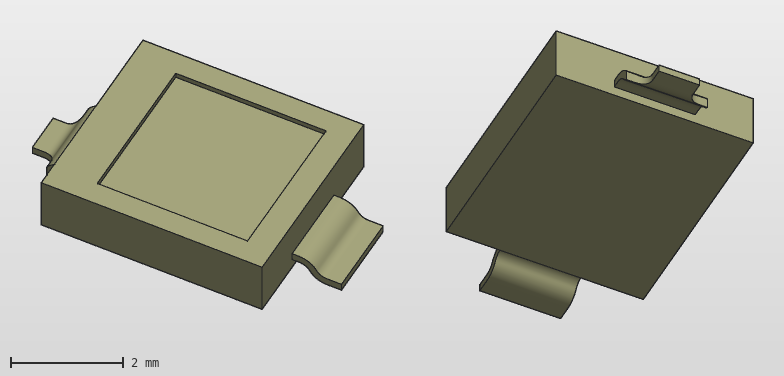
import cadquery as cq
import math

total_length = 6.4
total_height = 1.2
body_length = 4.42
body_width = 3.9
standoff = 0.1

window_side = 3.01
window_depth = 0.1
window_margin = 0.89

lead_width = 1.6
lead_thickness = 0.155
lead_top = 0.46
shoulder_length = 0.135
upper_bend_radius = 0.42
lower_bend_radius = 0.23
narrow_foot_width = 0.8
notch_radius = 0.25

lead_reach = (total_length - body_length) / 2
bend_drop = lead_top - lead_thickness
bend_angle = math.acos(1 - bend_drop / (upper_bend_radius + lower_bend_radius))
bend_middle = shoulder_length + upper_bend_radius * math.sin(bend_angle)
bend_end = bend_middle + lower_bend_radius * math.sin(bend_angle)


def make_body():
    """Rectangular body with the shallow square window in its top face."""
    body = cq.Workplane("XY").workplane(offset=standoff).box(
        body_length, body_width, total_height - standoff, centered=(True, True, False)
    )
    window_center = -body_length / 2 + window_margin + window_side / 2
    window = (
        cq.Workplane("XY")
        .workplane(offset=total_height - window_depth)
        .center(window_center, 0)
        .rect(window_side, window_side)
        .extrude(window_depth)
    )
    return body.cut(window)


def make_lead():
    """Full-width lead leaving the +X face of the body."""
    face = body_length / 2
    upper_center = (face + shoulder_length, lead_top - upper_bend_radius)
    lower_center = (face + bend_end, lead_thickness + lower_bend_radius)

    def upper_point(radius, angle):
        return (
            upper_center[0] + radius * math.sin(angle),
            upper_center[1] + radius * math.cos(angle),
        )

    def lower_point(radius, angle):
        return (
            lower_center[0] - radius * math.sin(angle),
            lower_center[1] - radius * math.cos(angle),
        )

    half_angle = bend_angle / 2
    upper_inner = upper_bend_radius - lead_thickness
    lower_outer = lower_bend_radius + lead_thickness
    tip = face + lead_reach
    return (
        cq.Workplane("XZ")
        .moveTo(face, lead_top)
        .lineTo(*upper_point(upper_bend_radius, 0))
        .threePointArc(
            upper_point(upper_bend_radius, half_angle),
            upper_point(upper_bend_radius, bend_angle),
        )
        .threePointArc(
            lower_point(lower_bend_radius, half_angle),
            lower_point(lower_bend_radius, 0),
        )
        .lineTo(tip, lead_thickness)
        .lineTo(tip, 0)
        .lineTo(*lower_point(lower_outer, 0))
        .threePointArc(
            lower_point(lower_outer, half_angle),
            lower_point(lower_outer, bend_angle),
        )
        .threePointArc(
            upper_point(upper_inner, half_angle),
            upper_point(upper_inner, 0),
        )
        .lineTo(face, lead_top - lead_thickness)
        .close()
        .extrude(lead_width / 2, both=True)
    )


def make_notch():
    """Round-cornered cutter for the +Y side of the -X foot."""
    tip = -total_length / 2
    inner_end = -body_length / 2 - bend_middle
    foot_side = narrow_foot_width / 2
    lead_side = lead_width / 2
    return (
        cq.Workplane("XY")
        .moveTo(tip, foot_side)
        .lineTo(inner_end, foot_side)
        .lineTo(inner_end, lead_side)
        .lineTo(tip, lead_side)
        .close()
        .extrude(lead_top)
        .edges(cq.selectors.NearestToPointSelector((inner_end, foot_side, lead_top / 2)))
        .fillet(notch_radius)
    )


full_lead = make_lead()
notch = make_notch()
narrow_lead = full_lead.mirror("YZ").cut(notch).cut(notch.mirror("XZ"))

result = make_body().union(full_lead).union(narrow_lead)